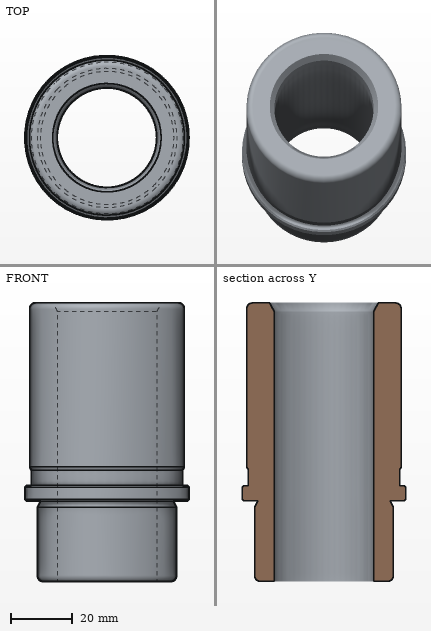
import cadquery as cq

total_length = 90.0
neck_bottom = 23.9
flange_bottom = 26.0
flange_thickness = 5.0
groove_width = 4.95
head_taper_height = 1.0
flange_top = flange_bottom + flange_thickness
groove_top = flange_top + groove_width
head_bottom = groove_top + head_taper_height

spigot_diameter = 45.0
neck_diameter = 43.0
flange_diameter = 53.0
groove_diameter = 49.0
head_diameter = 50.0
bore_diameter = 32.0
bore_mouth_diameter = 35.0

end_round = 2.0
flange_chamfer = 0.5
bore_mouth_depth = 2.8


def cylinder(diameter, bottom, top):
    """Solid cylinder on the Z axis between two heights."""
    return cq.Workplane("XY").workplane(offset=bottom).circle(diameter / 2).extrude(top - bottom)


def cone(bottom_diameter, top_diameter, bottom, top):
    """Solid frustum on the Z axis between two heights."""
    return cq.Workplane(
        cq.Solid.makeCone(
            bottom_diameter / 2,
            top_diameter / 2,
            top - bottom,
            pnt=cq.Vector(0, 0, bottom),
        )
    )


spigot = cylinder(spigot_diameter, 0, neck_bottom).faces("<Z").edges().fillet(end_round)
neck = cone(spigot_diameter, neck_diameter, neck_bottom, flange_bottom)

flange = cylinder(flange_diameter, flange_bottom, flange_top).edges().chamfer(flange_chamfer)

groove = cylinder(groove_diameter, flange_top, groove_top)
head_taper = cone(groove_diameter, head_diameter, groove_top, head_bottom)

head = cylinder(head_diameter, head_bottom, total_length).faces(">Z").edges().fillet(end_round)

bore = cylinder(bore_diameter, 0, total_length)
bore_mouth = cone(
    bore_diameter, bore_mouth_diameter, total_length - bore_mouth_depth, total_length
)

body = spigot.union(neck).union(flange).union(groove).union(head_taper).union(head)
result = body.cut(bore).cut(bore_mouth)